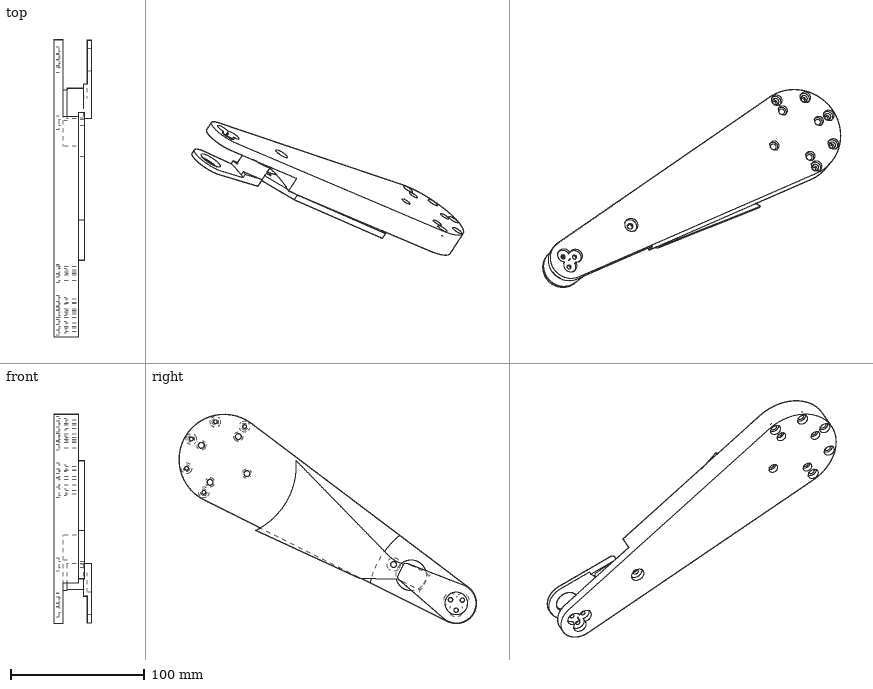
import cadquery as cq
import math

OVERALL_LENGTH = 223.5
AXIS_RISE = 31.8
FRAME_RISE = math.radians(AXIS_RISE)
LARGE_RADIUS = 34.0
SMALL_RADIUS = 15.2
ARM_LENGTH = (OVERALL_LENGTH - LARGE_RADIUS - SMALL_RADIUS) / math.cos(FRAME_RISE)
EDGE_ANGLE = math.degrees(math.asin((LARGE_RADIUS - SMALL_RADIUS) / ARM_LENGTH))

ARM_THICKNESS = 18.5
ARM_TINE_THICKNESS = 7.0
FORK_RADIUS = 66.5
PIVOT_CLEARANCE = 29.0

COUNTERBORE_DEPTH = 4.0
RIM_BOLT_RADIUS = 29.0
RIM_BOLT_COUNT = 5
RIM_BOLT_PITCH = 45.0
RIM_STEP_DEPTH = 9.0
RIM_HOLE_DIAMETERS = (8.0, 5.0, 2.7)
MOTOR_BOLT_RADIUS = 20.0
MOTOR_BOLT_COUNT = 4
MOTOR_HOLE_DIAMETERS = (7.0, 4.2)
PIVOT_BOLT_RADIUS = 5.1
PIVOT_BOLT_COUNT = 3
PIVOT_HOLE_DIAMETERS = (10.0, 3.1)
JOINT_SCREW_ALONG = 55.5
JOINT_HOLE_DIAMETERS = (10.0, 4.2)

BRACKET_OUTER_X = 28.4
BRACKET_TINE_RADIUS = 14.7
BRACKET_TINE_THICKNESS = 3.4
BRACKET_PAD_THICKNESS = 3.0
BRACKET_BORE_DIAMETER = 17.0
HUB_ALONG = 38.5
HUB_LENGTH = 20.5
HUB_WIDTH = 13.9
HUB_CORNER_RADIUS = 2.7
HUB_START_X = 10.0
HUB_BOSS_DIAMETER = 23.0
HUB_BOSS_ALONG = 40.0
BAR_THICKNESS = 4.5
BAR_HUB_UPPER = (49.0, -4.2)
BAR_HUB_LOWER = (47.5, 8.0)
BAR_NECK_MIDDLE = (55.0, -3.1)
BAR_NECK_END = (60.5, -3.4)
BAR_UPPER_TIP = (158.6, -27.7)
BAR_HOLLOW_MIDDLE = (148.5, 2.2)
BAR_LOWER_TIP = (156.9, 32.8)
BAR_LOWER_BEND = (71.5, 22.3)

LINK_DIRECTION = (0, -math.cos(FRAME_RISE), math.sin(FRAME_RISE))


def section(x):
    """Workplane at thickness x; local x is along the link, local y is across it."""
    return cq.Workplane(cq.Plane(origin=(x, 0, 0), xDir=LINK_DIRECTION, normal=(1, 0, 0)))


def polar(radius, degrees, centre_along=0.0):
    angle = math.radians(degrees)
    return (centre_along + radius * math.cos(angle), radius * math.sin(angle))


def cylinder(centre, diameter, start_x, end_x):
    return section(start_x).center(*centre).circle(diameter / 2).extrude(end_x - start_x)


def tapered_plate(start, start_radius, end, end_radius, start_x, end_x):
    """Two round ends joined by their common outer tangents."""
    run = end[0] - start[0]
    drop = end[1] - start[1]
    heading = math.degrees(math.atan2(drop, run))
    spread = math.degrees(math.acos((start_radius - end_radius) / math.hypot(run, drop)))

    def rim(centre, radius, degrees):
        offset = polar(radius, degrees)
        return (centre[0] + offset[0], centre[1] + offset[1])

    return (
        section(start_x)
        .moveTo(*rim(start, start_radius, heading + spread))
        .threePointArc(
            rim(start, start_radius, heading + 180),
            rim(start, start_radius, heading - spread),
        )
        .lineTo(*rim(end, end_radius, heading - spread))
        .threePointArc(
            rim(end, end_radius, heading),
            rim(end, end_radius, heading + spread),
        )
        .close()
        .extrude(end_x - start_x)
    )


def screw_hole(centre, diameters, depths):
    """Through hole with wider steps sunk from the outer face of the arm."""
    hole = cylinder(centre, diameters[-1], 0, ARM_THICKNESS)
    for diameter, depth in zip(diameters, depths):
        hole = hole.union(cylinder(centre, diameter, 0, depth))
    return hole


SMALL_CENTRE = (0.0, 0.0)
LARGE_CENTRE = (ARM_LENGTH, 0.0)
JOINT_SCREW = (JOINT_SCREW_ALONG, 0.0)


def make_arm():
    arm = tapered_plate(SMALL_CENTRE, SMALL_RADIUS, LARGE_CENTRE, LARGE_RADIUS, 0, ARM_THICKNESS)
    arm = arm.cut(cylinder(SMALL_CENTRE, 2 * FORK_RADIUS, ARM_TINE_THICKNESS, ARM_THICKNESS))

    for i in range(RIM_BOLT_COUNT):
        angle = (i - (RIM_BOLT_COUNT - 1) / 2) * RIM_BOLT_PITCH
        centre = polar(RIM_BOLT_RADIUS, angle, ARM_LENGTH)
        arm = arm.cut(screw_hole(centre, RIM_HOLE_DIAMETERS, (COUNTERBORE_DEPTH, RIM_STEP_DEPTH)))

    for i in range(MOTOR_BOLT_COUNT):
        centre = polar(MOTOR_BOLT_RADIUS, i * 360 / MOTOR_BOLT_COUNT, ARM_LENGTH)
        arm = arm.cut(screw_hole(centre, MOTOR_HOLE_DIAMETERS, (COUNTERBORE_DEPTH,)))

    for i in range(PIVOT_BOLT_COUNT):
        centre = polar(PIVOT_BOLT_RADIUS, i * 360 / PIVOT_BOLT_COUNT)
        arm = arm.cut(screw_hole(centre, PIVOT_HOLE_DIAMETERS, (COUNTERBORE_DEPTH,)))

    return arm.cut(screw_hole(JOINT_SCREW, JOINT_HOLE_DIAMETERS, (COUNTERBORE_DEPTH,)))


def hub_block(start_x, end_x):
    """Rounded block set parallel to the lower edge of the arm."""
    return (
        section(start_x)
        .center(HUB_ALONG, 0)
        .transformed(rotate=(0, 0, EDGE_ANGLE))
        .rect(HUB_LENGTH, HUB_WIDTH)
        .extrude(end_x - start_x)
        .edges("|X")
        .fillet(HUB_CORNER_RADIUS)
    )


def tine_outline(start_x, end_x):
    """Round pivot end drawn tangentially onto the far corners of the hub."""
    outline = hub_block(start_x, end_x)
    reach = HUB_LENGTH / 2 - HUB_CORNER_RADIUS
    half_width = HUB_WIDTH / 2 - HUB_CORNER_RADIUS
    tilt = math.radians(EDGE_ANGLE)
    for side in (-half_width, half_width):
        corner = (
            HUB_ALONG + reach * math.cos(tilt) - side * math.sin(tilt),
            reach * math.sin(tilt) + side * math.cos(tilt),
        )
        outline = outline.union(
            tapered_plate(SMALL_CENTRE, BRACKET_TINE_RADIUS, corner, HUB_CORNER_RADIUS, start_x, end_x)
        )
    return outline


def flat_bar():
    """Bar that widens from the hub and ends in a hollow around the large end."""
    return (
        section(ARM_THICKNESS)
        .moveTo(HUB_ALONG, 0)
        .lineTo(*BAR_HUB_UPPER)
        .threePointArc(BAR_NECK_MIDDLE, BAR_NECK_END)
        .lineTo(*BAR_UPPER_TIP)
        .threePointArc(BAR_HOLLOW_MIDDLE, BAR_LOWER_TIP)
        .lineTo(*BAR_LOWER_BEND)
        .lineTo(*BAR_HUB_LOWER)
        .close()
        .extrude(BAR_THICKNESS)
    )


def make_bracket():
    tine_inner_x = BRACKET_OUTER_X - BRACKET_TINE_THICKNESS
    pad_inner_x = tine_inner_x - BRACKET_PAD_THICKNESS
    pad = tine_outline(pad_inner_x, tine_inner_x).cut(
        cylinder(SMALL_CENTRE, 2 * PIVOT_CLEARANCE, pad_inner_x, tine_inner_x)
    )
    boss = cylinder((HUB_BOSS_ALONG, 0), HUB_BOSS_DIAMETER, ARM_TINE_THICKNESS, HUB_START_X)
    bracket = (
        tine_outline(tine_inner_x, BRACKET_OUTER_X)
        .union(pad)
        .union(hub_block(HUB_START_X, BRACKET_OUTER_X))
        .union(boss)
        .union(flat_bar())
    )
    bore = cylinder(SMALL_CENTRE, BRACKET_BORE_DIAMETER, tine_inner_x, BRACKET_OUTER_X)
    joint_hole = cylinder(JOINT_SCREW, JOINT_HOLE_DIAMETERS[-1], 0, BRACKET_OUTER_X)
    return bracket.cut(bore).cut(joint_hole)


arm = make_arm()
bracket = make_bracket()
result = cq.Compound.makeCompound([arm.solids().val(), bracket.solids().val()])